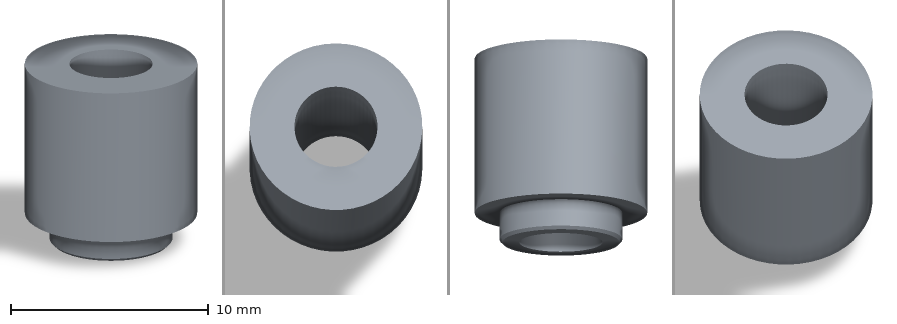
import cadquery as cq

total_height = 9.53
body_diameter = 8.74
spigot_diameter = 6.22
bore_diameter = 4.2
spigot_height = 1.525
spigot_chamfer = 0.15

body_height = total_height - spigot_height

spigot = (
    cq.Workplane("XY")
    .circle(spigot_diameter / 2)
    .extrude(spigot_height)
    .faces("<Z")
    .edges()
    .chamfer(spigot_chamfer)
)

body = (
    cq.Workplane("XY", origin=(0, 0, spigot_height))
    .circle(body_diameter / 2)
    .extrude(body_height)
)

bore = cq.Workplane("XY").circle(bore_diameter / 2).extrude(total_height)

result = body.union(spigot).cut(bore)